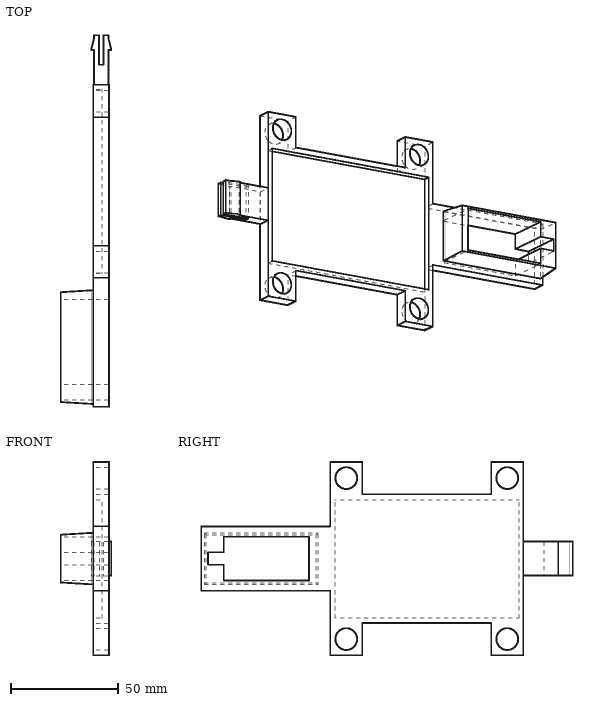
import cadquery as cq

total_length = 173.0
plate_thickness = 7.5

arm_length = 60.0
arm_height = 30.0
body_length = 90.0
body_height = 60.0
body_end = arm_length + body_length

lug_span = 90.0
lug_width = 15.0
lug_hole_diameter = 10.0

pocket_length = 85.6
pocket_height = 54.8
pocket_depth = 4.0

housing_start = 1.4
housing_length = 53.0
housing_height = 24.0
housing_taper_inset = 0.9
neck_height = 1.0
housing_projection = 15.2

opening_start = 10.5
opening_end = 50.2
opening_height = 20.2
notch_start = 3.3
notch_height = 5.7

tab_thickness = 7.0
tab_height = 16.0
barb_projection = 1.3
barb_tip_length = 1.7
barb_length = 7.0
slot_width = 2.0
slot_depth = 13.7


def block(x_start, x_end, y_start, y_end, height):
    """Box between the given X and Y limits, centred on Z = 0."""
    return (
        cq.Workplane("XY")
        .box(x_end - x_start, y_end - y_start, height, centered=(False, False, True))
        .translate((x_start, y_start, 0))
    )


def make_plate():
    """Arm and body, with drilled lugs and the front pocket."""
    plate = block(0, plate_thickness, 0, arm_length, arm_height)
    plate = plate.union(block(0, plate_thickness, arm_length, body_end, body_height))
    lug_centers = (arm_length + lug_width / 2, body_end - lug_width / 2)
    for y in lug_centers:
        plate = plate.union(
            block(0, plate_thickness, y - lug_width / 2, y + lug_width / 2, lug_span)
        )
    hole_offset = (lug_span - lug_width) / 2
    hole_points = [(y, z) for y in lug_centers for z in (-hole_offset, hole_offset)]
    holes = (
        cq.Workplane("YZ")
        .pushPoints(hole_points)
        .circle(lug_hole_diameter / 2)
        .extrude(plate_thickness)
    )
    pocket_start = arm_length + (body_length - pocket_length) / 2
    pocket = block(0, pocket_depth, pocket_start, pocket_start + pocket_length, pocket_height)
    return plate.cut(holes).cut(pocket)


def make_housing():
    """Straight neck followed by a taper towards -X."""
    housing_end = housing_start + housing_length
    neck = block(-neck_height, 0, housing_start, housing_end, housing_height)
    taper = (
        cq.Workplane("YZ", origin=(-neck_height, housing_start + housing_length / 2, 0))
        .rect(housing_length, housing_height)
        .workplane(offset=neck_height - housing_projection)
        .rect(housing_length - 2 * housing_taper_inset, housing_height - 2 * housing_taper_inset)
        .loft(ruled=True)
    )
    return neck.union(taper)


def make_opening():
    """Through opening and its end notch."""
    opening = block(-housing_projection, plate_thickness, opening_start, opening_end, opening_height)
    notch = block(-housing_projection, plate_thickness, notch_start, opening_start, notch_height)
    return opening.union(notch)


def make_tab():
    """Split tab, centred in the plate thickness."""
    side = tab_thickness / 2
    barb_side = side + barb_projection
    barb_base = total_length - barb_length
    barb_tip = total_length - barb_tip_length
    right_edge = [
        (side, body_end),
        (side, barb_base),
        (barb_side, barb_base),
        (side, barb_tip),
        (side, total_length),
    ]
    left_edge = [(-x, y) for x, y in reversed(right_edge)]
    tab = (
        cq.Workplane("XY")
        .polyline(right_edge + left_edge)
        .close()
        .extrude(tab_height / 2, both=True)
    )
    slot = block(
        -slot_width / 2, slot_width / 2, total_length - slot_depth, total_length, tab_height
    )
    return tab.cut(slot).translate((plate_thickness / 2, 0, 0))


result = make_plate().union(make_housing()).cut(make_opening()).union(make_tab())